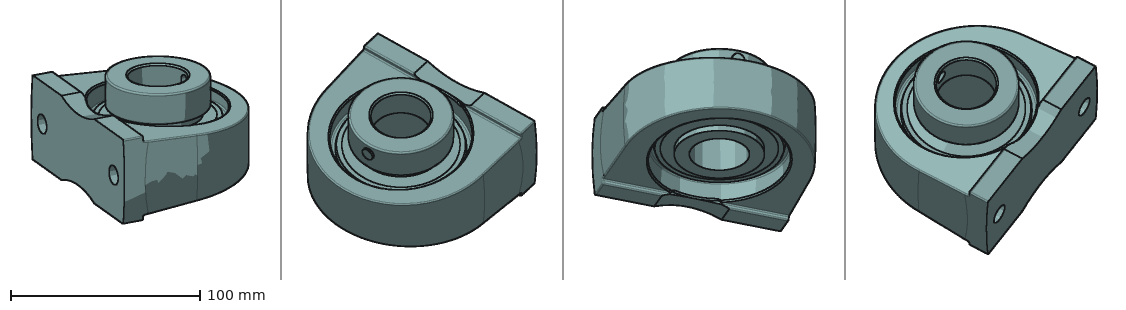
import cadquery as cq
import math


foot_half_width = 54.0
foot_half_height = 24.0
foot_thickness = 12.0
foot_y = -47.5
back_y = 47.5
step_y = foot_y + foot_thickness
shoulder_half_width = 52.9
shoulder_y = -3.7
bulge_radius = 199.8
flank_start_y = -35.4
flank_start_shift = 3.3
step_half_height = 21.1
back_half_height = 15.5
body_slope = (step_half_height - back_half_height) / (back_y - step_y)
edge_fillet = 0.8
overrun = 1.1

bolt_hole_diameter = 10.6
bolt_hole_depth = 20.0
bolt_spacing = 82.7
drill_point_angle = 118.0

notch_width = 38.0
notch_depth = 3.9

seat_radius = 36.0
mouth_diameter = 75.2
mouth_floor_z = 9.2
mouth_floor_fillet = 0.9
mouth_chamfer = 0.9
outer_ring_half_width = 11.3
outer_ring_bore = 62.5
inner_ring_diameter = 47.7
inner_ring_top_z = 19.1
inner_ring_bottom_z = -15.0
nose_diameter = 44.2
shaft_bore = 31.8

seal_thickness = 2.0
seal_rise = 0.3

collar_diameter = 55.6
collar_bottom_z = 16.4
collar_top_z = 33.9
collar_edge = 1.0
screw_diameter = 6.8
screw_z = 27.5
screw_length = 8.0
screw_end_y = 28.9


def revolve_profile(points):
    """Solid of revolution about Z from (radius, z) corner points."""
    return cq.Workplane("XZ").polyline(points).close().revolve(360, (0, 0), (0, 1))


def plan_outline(work, z):
    """Horizontal outline of the housing at height z: foot, tapering flanks and rounded end."""
    bulge_loss = bulge_radius - math.sqrt(bulge_radius**2 - z**2)
    foot_x = foot_half_width - bulge_loss
    shoulder_x = shoulder_half_width - bulge_loss
    corner_y = flank_start_y + flank_start_shift * (z / foot_half_height)**2
    return (
        work.moveTo(-foot_x, foot_y)
        .lineTo(foot_x, foot_y)
        .lineTo(foot_x, corner_y)
        .lineTo(shoulder_x, shoulder_y)
        .threePointArc((0, back_y), (-shoulder_x, shoulder_y))
        .lineTo(-foot_x, corner_y)
        .close()
    )


def crowned_block():
    """Full-height block whose side walls bulge outwards at mid height."""
    work = cq.Workplane("XY").workplane(offset=-foot_half_height)
    work = plan_outline(work, -foot_half_height).workplane(offset=foot_half_height)
    work = plan_outline(work, 0).workplane(offset=foot_half_height)
    return plan_outline(work, foot_half_height).loft(combine=True)


def side_profile():
    """Tall foot and wedge-shaped body, extruded across the whole width."""
    end_y = back_y + overrun
    end_half_height = back_half_height - body_slope * overrun
    profile = (
        cq.Workplane("YZ")
        .polyline([
            (foot_y, -foot_half_height),
            (step_y, -foot_half_height),
            (step_y, -step_half_height),
            (end_y, -end_half_height),
            (end_y, end_half_height),
            (step_y, step_half_height),
            (step_y, foot_half_height),
            (foot_y, foot_half_height),
        ])
        .close()
        .extrude(foot_half_width + overrun, both=True)
    )
    step_edges = cq.selectors.BoxSelector(
        (-1.1, step_y - 0.1, -foot_half_height - 1.1), (1.1, step_y + 0.1, foot_half_height + 1.1)
    )
    return profile.edges("|X").edges(step_edges).fillet(edge_fillet)


def bearing_cavity():
    """Spherical seat opening into a stepped mouth on both sides."""
    sphere = cq.Workplane("XY").sphere(seat_radius)
    mouth_height = foot_half_height - mouth_floor_z
    mouth = (
        cq.Workplane("XY").workplane(offset=mouth_floor_z)
        .circle(mouth_diameter / 2).extrude(mouth_height)
        .faces("<Z").edges().fillet(mouth_floor_fillet)
    )
    return sphere.union(mouth).union(mouth.mirror("XY"))


def bolt_hole(x):
    """Blind drilled hole with a conical end, running +Y from the foot plane."""
    radius = bolt_hole_diameter / 2
    point_length = radius / math.tan(math.radians(drill_point_angle / 2))
    return (
        cq.Workplane("XY")
        .polyline([
            (0, 0), (radius, 0), (radius, bolt_hole_depth), (0, bolt_hole_depth + point_length)
        ])
        .close()
        .revolve(360, (0, 0), (0, 1))
        .translate((x, foot_y, 0))
    )


def foot_notch():
    """Shallow arched relief across the top of the foot."""
    return (
        cq.Workplane("XZ", origin=(0, foot_y, 0))
        .moveTo(-notch_width / 2, foot_half_height)
        .threePointArc((0, foot_half_height - notch_depth), (notch_width / 2, foot_half_height))
        .close()
        .extrude(-foot_thickness)
    )


def rim_cutter(rim_z):
    """Countersink that widens the mouth to the chamfer edge at height rim_z, then runs straight up."""
    inner = mouth_diameter / 2
    outer = inner + mouth_chamfer
    top_z = foot_half_height + overrun
    return revolve_profile([
        (0, rim_z - mouth_chamfer),
        (inner, rim_z - mouth_chamfer),
        (outer, rim_z),
        (outer, top_z),
        (0, top_z),
    ])


def chamfer_mouth_rims(body):
    """Chamfer both mouth rims: square to the sloping faces, and level where they cross the notch."""
    slope_angle = math.degrees(math.atan(body_slope))
    axis_z = step_half_height + body_slope * step_y
    sloped = rim_cutter(axis_z).rotate((0, 0, axis_z), (1, 0, axis_z), -slope_angle)
    foot_region = cq.Workplane("XY").box(mouth_diameter, foot_thickness, 2 * foot_half_height)
    foot_region = foot_region.translate((0, foot_y + foot_thickness / 2, 0))
    level = rim_cutter(foot_half_height - notch_depth).intersect(foot_region)
    for cutter in (sloped, level):
        body = body.cut(cutter).cut(cutter.mirror("XY"))
    return body


def rim_box(sign):
    """Region holding the centres of the outer rim edges above (+1) or below (-1) mid height."""
    z_near = sign * back_half_height / 2
    z_far = sign * (foot_half_height + overrun)
    return cq.selectors.BoxSelector(
        (-foot_half_width, foot_y + overrun, min(z_near, z_far)),
        (foot_half_width, back_y + overrun, max(z_near, z_far)),
    )


def make_housing():
    body = crowned_block().intersect(side_profile())
    body = body.edges("not %LINE").edges(rim_box(1) + rim_box(-1)).fillet(edge_fillet)
    notch = foot_notch()
    body = body.cut(notch).cut(notch.mirror("XY")).cut(bearing_cavity())
    body = chamfer_mouth_rims(body)
    for x in (-bolt_spacing / 2, bolt_spacing / 2):
        body = body.cut(bolt_hole(x))
    return body


def make_outer_ring():
    """Ring with a spherical outside that swivels in the housing seat."""
    bore = outer_ring_bore / 2
    face_radius = math.sqrt(seat_radius**2 - outer_ring_half_width**2)
    return (
        cq.Workplane("XZ")
        .moveTo(bore, -outer_ring_half_width)
        .lineTo(face_radius, -outer_ring_half_width)
        .threePointArc((seat_radius, 0), (face_radius, outer_ring_half_width))
        .lineTo(bore, outer_ring_half_width)
        .close()
        .revolve(360, (0, 0), (0, 1))
    )


def make_inner_ring():
    """Ring on the shaft whose narrower nose enters the collar."""
    bore = shaft_bore / 2
    return revolve_profile([
        (bore, inner_ring_bottom_z),
        (inner_ring_diameter / 2, inner_ring_bottom_z),
        (inner_ring_diameter / 2, collar_bottom_z),
        (nose_diameter / 2, collar_bottom_z),
        (nose_diameter / 2, inner_ring_top_z),
        (bore, inner_ring_top_z),
    ])


def make_seal():
    """Upper seal between the rings, with slightly conical faces."""
    outer = outer_ring_bore / 2
    inner = inner_ring_diameter / 2
    face_z = outer_ring_half_width
    return revolve_profile([
        (outer, face_z),
        (inner, face_z + seal_rise),
        (inner, face_z + seal_rise - seal_thickness),
        (outer, face_z - seal_thickness),
    ])


def make_set_screw():
    return (
        cq.Workplane("XZ", origin=(0, screw_end_y, screw_z))
        .circle(screw_diameter / 2)
        .extrude(screw_length)
    )


def make_collar():
    """Collar with a shaft bore, a recess for the inner ring nose and a radial screw hole."""
    collar = (
        cq.Workplane("XY").workplane(offset=collar_bottom_z)
        .circle(collar_diameter / 2).extrude(collar_top_z - collar_bottom_z)
        .edges("%CIRCLE").fillet(collar_edge)
        .faces(">Z").workplane().hole(shaft_bore)
        .faces(">Z").edges(cq.selectors.RadiusNthSelector(0)).chamfer(collar_edge)
    )
    recess = (
        cq.Workplane("XY").workplane(offset=collar_bottom_z)
        .circle(nose_diameter / 2).extrude(inner_ring_top_z - collar_bottom_z)
    )
    screw_hole = (
        cq.Workplane("XZ", origin=(0, screw_end_y, screw_z))
        .circle(screw_diameter / 2).extrude(screw_end_y)
    )
    return collar.cut(recess).cut(screw_hole)


housing = make_housing()
outer_ring = make_outer_ring()
inner_ring = make_inner_ring()
upper_seal = make_seal()
seals = [upper_seal, upper_seal.mirror("XY")]
collar = make_collar()
set_screw = make_set_screw()

result = cq.Compound.makeCompound([
    housing.val(),
    outer_ring.val(),
    inner_ring.val(),
    *[seal.val() for seal in seals],
    collar.val(),
    set_screw.val(),
])